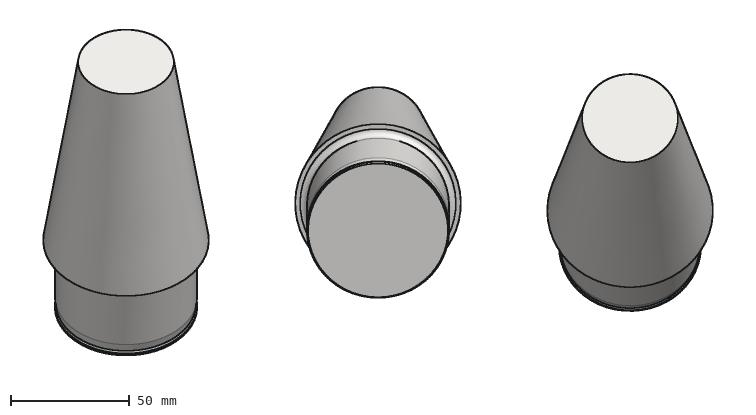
import cadquery as cq
import math

total_height = 140.6
shoulder_z = 39.0
flare_start_z = 35.0
relief_top_z = 6.9
relief_bottom_z = 2.7
rim_top_z = 1.7
rim_bottom_z = 0.8

cap_base_radius = 69.9 / 2
cap_top_radius = 40.4 / 2
spigot_radius = 60.0 / 2
relief_depth = 0.5
relief_radius = spigot_radius - relief_depth
bottom_radius = spigot_radius - relief_depth

flare_radius = 3.0
flare_centre_z = shoulder_z - flare_radius
flare_centre_x = spigot_radius + math.sqrt(flare_radius**2 - (flare_centre_z - flare_start_z) ** 2)


def make_cap():
    """Solid truncated cone standing on the spigot."""
    return (
        cq.Workplane("XZ")
        .moveTo(0, shoulder_z)
        .lineTo(cap_base_radius, shoulder_z)
        .lineTo(cap_top_radius, total_height)
        .lineTo(0, total_height)
        .close()
        .revolve(360, (0, 0, 0), (0, 1, 0))
    )


def make_spigot():
    """Round plug with a bevelled rim, a tapered relief and a flared neck."""
    arc_reach = flare_radius * math.sqrt(0.5)
    flare_middle = (flare_centre_x - arc_reach, flare_centre_z + arc_reach)
    flare_end = (flare_centre_x, shoulder_z)
    return (
        cq.Workplane("XZ")
        .lineTo(bottom_radius, 0)
        .lineTo(spigot_radius, rim_bottom_z)
        .lineTo(spigot_radius, rim_top_z)
        .lineTo(relief_radius, relief_bottom_z)
        .lineTo(spigot_radius, relief_top_z)
        .lineTo(spigot_radius, flare_start_z)
        .threePointArc(flare_middle, flare_end)
        .lineTo(0, shoulder_z)
        .close()
        .revolve(360, (0, 0, 0), (0, 1, 0))
    )


cap = make_cap()
spigot = make_spigot()
result = cq.Compound.makeCompound([cap.val(), spigot.val()])